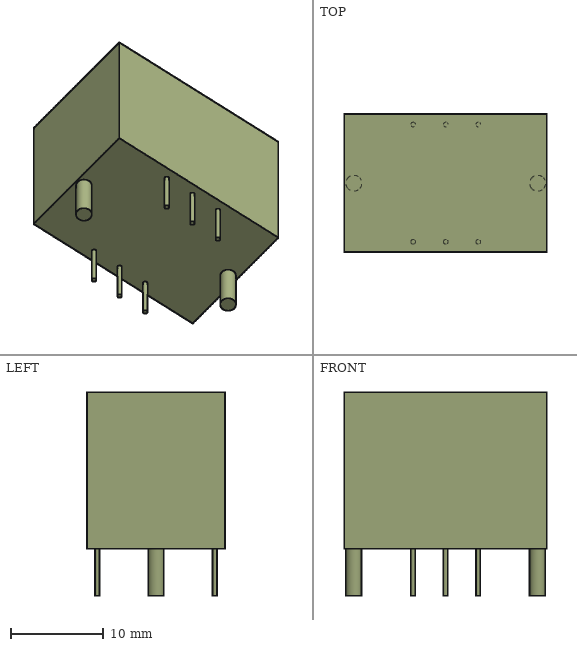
import cadquery as cq

housing_length = 22.0
housing_width = 15.0
overall_height = 22.1
pin_length = 5.08
housing_height = overall_height - pin_length

post_diameter = 1.72
post_offset = 9.96

pin_diameter = 0.5
pin_pitch = 3.53
pin_row_offset = 6.36


def make_housing():
    """Plain rectangular housing standing on top of the pins."""
    return (
        cq.Workplane("XY")
        .workplane(offset=pin_length)
        .rect(housing_length, housing_width)
        .extrude(housing_height)
    )


def make_round_leg(diameter, x, y):
    """Round leg from Z = 0 up to the underside of the housing."""
    return cq.Workplane("XY").center(x, y).circle(diameter / 2).extrude(pin_length)


housing = make_housing()
posts = [make_round_leg(post_diameter, x, 0) for x in (-post_offset, post_offset)]
pins = [
    make_round_leg(pin_diameter, x, y)
    for y in (-pin_row_offset, pin_row_offset)
    for x in (-pin_pitch, 0, pin_pitch)
]

result = cq.Compound.makeCompound(
    [housing.val(), *[post.val() for post in posts], *[pin.val() for pin in pins]]
)